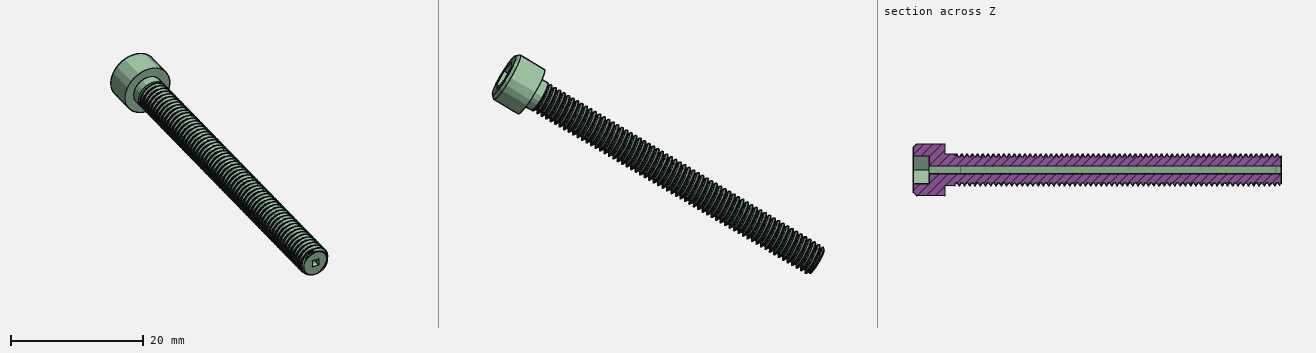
import cadquery as cq
import math

total_length = 55.6

head_diameter = 7.85
head_height = 4.85
head_chamfer = 0.5

socket_across_flats = 4.15
socket_depth = 2.4

passage_width = 1.1

shank_diameter = 4.85
neck_length = 1.5
tip_chamfer = 0.35

thread_turns = 62
flank_angle = 60
thread_root_bearing = 85

head_radius = head_diameter / 2
shank_radius = shank_diameter / 2
thread_start = head_height + neck_length
pitch = (total_length - thread_start) / thread_turns
crest_flat = pitch / 8
root_flat = pitch / 4
flank_width = (pitch - crest_flat - root_flat) / 2
thread_depth = flank_width / math.tan(math.radians(flank_angle / 2))
root_radius = shank_radius - thread_depth


def polar(radius, angle):
    """Point in the cross-section plane at an angle in degrees from +Y."""
    return radius * math.cos(math.radians(angle)), radius * math.sin(math.radians(angle))


def make_head_and_neck():
    """Chamfered head and plain neck, turned about the X axis."""
    return (
        cq.Workplane("XY")
        .lineTo(0, head_radius - head_chamfer)
        .lineTo(head_chamfer, head_radius)
        .lineTo(head_height, head_radius)
        .lineTo(head_height, shank_radius)
        .lineTo(thread_start, shank_radius)
        .lineTo(thread_start, 0)
        .close()
        .revolve(360, (0, 0, 0), (1, 0, 0))
    )


def make_thread_turn():
    """One full turn of threaded rod: a cross-section turned steadily along the axis.

    A cut square to the axis meets the root, a flank, the crest and the other flank
    once per turn, so each takes its share of the pitch as an angle.  The flanks
    become spirals whose radius changes evenly with the angle.
    """
    root_end = 360 * root_flat / pitch / 2
    crest_half = 360 * crest_flat / pitch / 2
    crest_begin = 180 - crest_half
    crest_end = 180 + crest_half
    flank_sweep = crest_begin - root_end
    spiral_points = 8

    def rising_flank(t):
        return polar(root_radius + thread_depth * t, root_end + flank_sweep * t)

    def falling_flank(t):
        return polar(shank_radius - thread_depth * t, crest_end + flank_sweep * t)

    section = (
        cq.Workplane("YZ", origin=(thread_start, 0, 0))
        .transformed(rotate=(0, 0, thread_root_bearing))
        .moveTo(*polar(root_radius, -root_end))
        .threePointArc(polar(root_radius, 0), polar(root_radius, root_end))
        .parametricCurve(rising_flank, N=spiral_points, makeWire=False)
        .threePointArc(polar(shank_radius, 180), polar(shank_radius, crest_end))
        .parametricCurve(falling_flank, N=spiral_points, makeWire=False)
        .wire()
    )
    return section.twistExtrude(pitch, 360)


def make_tip_trim():
    """Ring that bevels the thread crests at the tip."""
    bevel_start = total_length - tip_chamfer
    return (
        cq.Workplane("XY")
        .moveTo(bevel_start, shank_radius)
        .lineTo(total_length, shank_radius - tip_chamfer)
        .lineTo(total_length, head_radius)
        .lineTo(bevel_start, head_radius)
        .close()
        .revolve(360, (0, 0, 0), (1, 0, 0))
    )


def make_socket():
    """Hexagonal prism sunk into the head face."""
    across_corners = socket_across_flats / math.cos(math.radians(30))
    return (
        cq.Workplane("YZ")
        .transformed(rotate=(0, 0, 90))
        .polygon(6, across_corners)
        .extrude(socket_depth)
    )


def make_passage(start, length):
    """Square prism about the axis, for one stretch of the screw."""
    return cq.Workplane("YZ", origin=(start, 0, 0)).rect(passage_width, passage_width).extrude(length)


def make_screw():
    """Close one skin around the head end, the middle thread turns and the tip end.

    The head end carries the first turn and the tip end the last one.  Every joint falls
    on a whole turn, so neighbouring skins share their joint edges and can be sewn together.
    """
    first_turn = make_thread_turn()
    last_turn = first_turn.translate((pitch * (thread_turns - 1), 0, 0))
    middle_start = thread_start + pitch
    last_turn_start = total_length - pitch
    head_end = (
        make_head_and_neck()
        .union(first_turn)
        .cut(make_socket())
        .cut(make_passage(0, middle_start))
    )
    tip_end = (
        last_turn
        .cut(make_tip_trim())
        .cut(make_passage(last_turn_start, pitch))
    )
    middle_passage = make_passage(middle_start, last_turn_start - middle_start)

    skin = head_end.faces("not >X").vals()
    skin += tip_end.faces("not <X").vals()
    skin += middle_passage.faces("#X").vals()
    for turn_index in range(1, thread_turns - 1):
        turn = first_turn.translate((pitch * turn_index, 0, 0))
        skin += turn.faces("not %PLANE").vals()
    return cq.Solid.makeSolid(cq.Shell.makeShell(skin))


result = cq.Workplane(make_screw())